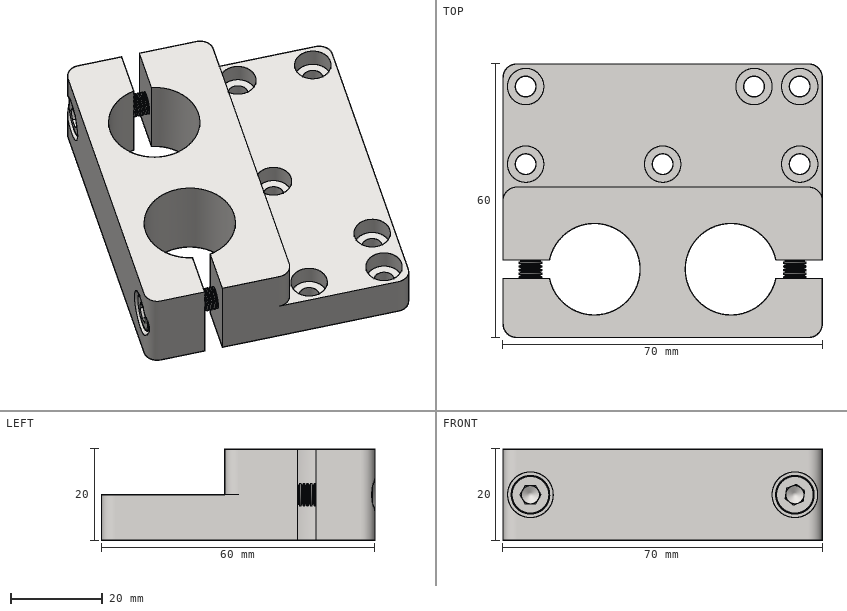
import cadquery as cq
import math

LENGTH = 70.0
DEPTH = 60.0
HEIGHT = 20.0
PLATE_HEIGHT = HEIGHT / 2
CLAMP_DEPTH = 33.0
CORNER_RADIUS = 3.0

BORE_DIAMETER = 20.0
BORE_OFFSET_X = 15.0
BORE_Y = 15.0
SLOT_WIDTH = 4.0

MOUNT_DIAMETER = 4.5
MOUNT_COUNTERBORE_DIAMETER = 8.0
MOUNT_COUNTERBORE_DEPTH = 4.5
MOUNT_OFFSET_X = 30.0
MOUNT_EXTRA_X = 20.0
MOUNT_FRONT_Y = 38.0
MOUNT_REAR_Y = 55.0
MOUNT_POINTS = [
    (-MOUNT_OFFSET_X, MOUNT_FRONT_Y),
    (0, MOUNT_FRONT_Y),
    (MOUNT_OFFSET_X, MOUNT_FRONT_Y),
    (-MOUNT_OFFSET_X, MOUNT_REAR_Y),
    (MOUNT_EXTRA_X, MOUNT_REAR_Y),
    (MOUNT_OFFSET_X, MOUNT_REAR_Y),
]

SCREW_OFFSET_X = 29.0
SCREW_Z = HEIGHT / 2
SCREW_LENGTH = 20.0
HEAD_DIAMETER = 8.5
HEAD_HEIGHT = 5.0
HEAD_CHAMFER = 0.2
HEAD_RECESS = 0.5
THREAD_DIAMETER = 5.0
THREAD_ROOT_DIAMETER = 4.0
THREAD_PITCH = SLOT_WIDTH / 5
THREAD_CREST_WIDTH = THREAD_PITCH / 3
THREAD_FLOOR_WIDTH = THREAD_PITCH / 4
SOCKET_FLATS = 4.0
SOCKET_DEPTH = 2.3
SOCKET_TIP_ANGLE = 120
SOCKET_TURN = {-1: 0, 1: -22}

HEAD_SEAT_DIAMETER = 10.0
CLEARANCE_DIAMETER = 5.5
SEAT_Y = HEAD_RECESS + HEAD_HEIGHT
TIP_Y = SEAT_Y + SCREW_LENGTH
SLOT_FRONT_Y = BORE_Y - SLOT_WIDTH / 2
SLOT_REAR_Y = BORE_Y + SLOT_WIDTH / 2


def cylinder_along_y(diameter, start_y, end_y, x=0.0):
    """Cylinder on the screw height, running from start_y to end_y."""
    axis = cq.Vector(0, 1, 0)
    solid = cq.Solid.makeCylinder(diameter / 2, end_y - start_y, cq.Vector(x, start_y, SCREW_Z), axis)
    return cq.Workplane(obj=solid)


def rounded_slab(depth, height):
    """Slab with rounded vertical corners, starting at the clamping face."""
    slab = cq.Workplane().box(LENGTH, depth, height, centered=(True, False, False))
    return slab.edges("|Z").fillet(CORNER_RADIUS)


def make_threaded_shank():
    """Shank starting under the head at the seat, with the thread as plain trapezoidal rings."""
    crest = THREAD_DIAMETER / 2
    root = THREAD_ROOT_DIAMETER / 2
    half_mouth = (THREAD_PITCH - THREAD_CREST_WIDTH) / 2
    half_floor = THREAD_FLOOR_WIDTH / 2
    first_groove = SEAT_Y + THREAD_PITCH + (SLOT_REAR_Y - THREAD_PITCH / 4 - SEAT_Y) % THREAD_PITCH
    groove_count = math.floor((TIP_Y - first_groove) / THREAD_PITCH)
    outline = [(0, SEAT_Y), (crest, SEAT_Y)]
    for i in range(groove_count):
        groove_y = first_groove + i * THREAD_PITCH
        outline += [
            (crest, groove_y - half_mouth),
            (root, groove_y - half_floor),
            (root, groove_y + half_floor),
            (crest, groove_y + half_mouth),
        ]
    outline += [(crest, TIP_Y), (0, TIP_Y)]
    shank = cq.Workplane().polyline(outline).close().revolve(360, (0, 0, 0), (0, 1, 0))
    return shank.translate((0, 0, SCREW_Z))


def make_socket(turn):
    """Hexagonal key socket with a drill cone, as wide as the flats, in its floor."""
    corner_diameter = SOCKET_FLATS / math.cos(math.pi / 6)
    floor_y = HEAD_RECESS + SOCKET_DEPTH
    cone_radius = SOCKET_FLATS / 2
    cone_height = cone_radius / math.tan(math.radians(SOCKET_TIP_ANGLE / 2))
    mouth = cq.Workplane("XZ", origin=(0, HEAD_RECESS, SCREW_Z))
    hexagon = mouth.polygon(6, corner_diameter).extrude(-SOCKET_DEPTH)
    hexagon = hexagon.rotate((0, 0, SCREW_Z), (0, 1, SCREW_Z), turn)
    cone = cq.Solid.makeCone(
        cone_radius, 0, cone_height, cq.Vector(0, floor_y, SCREW_Z), cq.Vector(0, 1, 0)
    )
    return hexagon.union(cq.Workplane(obj=cone))


def make_screw(x, turn):
    """Socket-head clamping screw."""
    head = cylinder_along_y(HEAD_DIAMETER, HEAD_RECESS, SEAT_Y).faces("<Y").chamfer(HEAD_CHAMFER)
    screw = head.union(make_threaded_shank()).cut(make_socket(turn))
    return screw.translate((x, 0, 0))


def make_housing():
    """Stepped block with two split rod bores and a mounting plate."""
    housing = rounded_slab(DEPTH, PLATE_HEIGHT).union(rounded_slab(CLAMP_DEPTH, HEIGHT))
    for side in (-1, 1):
        bore_x = side * BORE_OFFSET_X
        bore = cq.Workplane().center(bore_x, BORE_Y).circle(BORE_DIAMETER / 2).extrude(HEIGHT)
        slot_length = LENGTH / 2 - BORE_OFFSET_X
        slot = (
            cq.Workplane()
            .center(side * (BORE_OFFSET_X + slot_length / 2), BORE_Y)
            .rect(slot_length, SLOT_WIDTH)
            .extrude(HEIGHT)
        )
        housing = housing.cut(bore).cut(slot)

        screw_x = side * SCREW_OFFSET_X
        housing = housing.cut(cylinder_along_y(HEAD_SEAT_DIAMETER, 0, SEAT_Y, screw_x))
        housing = housing.cut(cylinder_along_y(CLEARANCE_DIAMETER, SEAT_Y, SLOT_FRONT_Y, screw_x))
        housing = housing.cut(cylinder_along_y(THREAD_DIAMETER, SLOT_REAR_Y, TIP_Y, screw_x))

    for x, y in MOUNT_POINTS:
        hole = cq.Workplane().center(x, y).circle(MOUNT_DIAMETER / 2).extrude(PLATE_HEIGHT)
        counterbore = (
            cq.Workplane(origin=(x, y, PLATE_HEIGHT))
            .circle(MOUNT_COUNTERBORE_DIAMETER / 2)
            .extrude(-MOUNT_COUNTERBORE_DEPTH)
        )
        housing = housing.cut(hole).cut(counterbore)
    return housing


housing = make_housing()
screws = [make_screw(side * SCREW_OFFSET_X, turn) for side, turn in SOCKET_TURN.items()]

result = cq.Compound.makeCompound([housing.val(), *[screw.val() for screw in screws]])